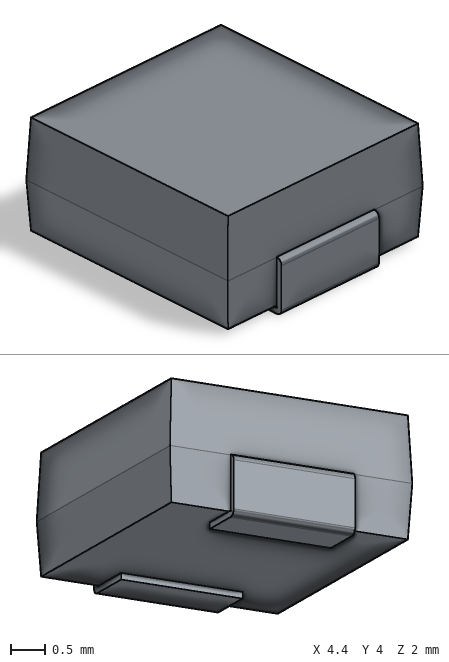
import cadquery as cq
import math

overall_length = 4.4
overall_height = 2.0
body_width = 4.0

lead_thickness = 0.1
lead_width = 2.0
left_foot_length = 0.755
right_foot_length = 0.86

body_length = overall_length - 2 * lead_thickness
body_bottom = lead_thickness
parting_height = 0.955
face_inset = 0.05


def make_body_half(height):
    """Tapered half starting at the parting line; a negative height goes down."""
    draft_angle = math.degrees(math.atan2(face_inset, abs(height)))
    return (
        cq.Workplane("XY")
        .workplane(offset=parting_height)
        .rect(body_length, body_width)
        .extrude(height, taper=draft_angle)
    )


def make_body():
    upper_half = make_body_half(overall_height - parting_height)
    lower_half = make_body_half(body_bottom - parting_height)
    return upper_half.union(lower_half)


def make_lead(side, foot_length):
    """L-shaped strip with rounded outer bends; side is -1 or +1 along X."""
    outer_x = side * overall_length / 2
    inner_x = side * body_length / 2
    foot_end_x = side * (overall_length / 2 - foot_length)
    bend_mid_offset = lead_thickness * math.sqrt(0.5)
    bend_mid_x = inner_x + side * bend_mid_offset
    upper_bend_z = parting_height - lead_thickness
    return (
        cq.Workplane("XZ")
        .moveTo(foot_end_x, 0)
        .lineTo(inner_x, 0)
        .threePointArc((bend_mid_x, lead_thickness - bend_mid_offset), (outer_x, lead_thickness))
        .lineTo(outer_x, upper_bend_z)
        .threePointArc((bend_mid_x, upper_bend_z + bend_mid_offset), (inner_x, parting_height))
        .lineTo(inner_x, body_bottom)
        .lineTo(foot_end_x, body_bottom)
        .close()
        .extrude(lead_width / 2, both=True)
    )


body = make_body()
leads = [
    make_lead(side, foot_length)
    for side, foot_length in ((-1, left_foot_length), (1, right_foot_length))
]

result = cq.Compound.makeCompound([body.val(), *[lead.val() for lead in leads]])